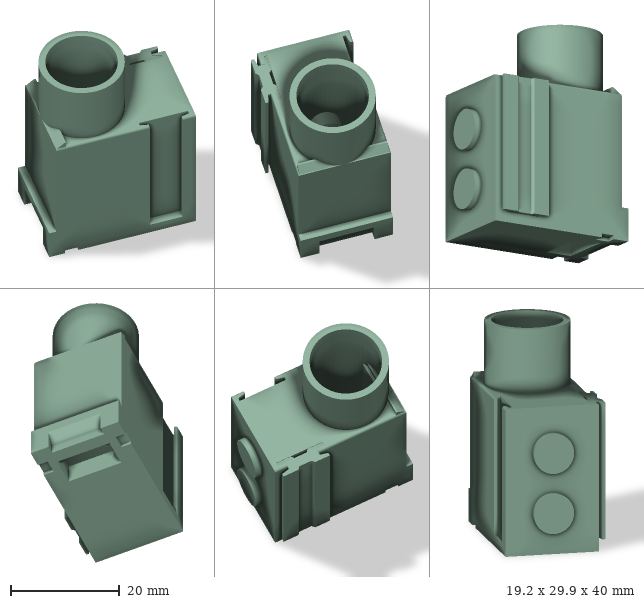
import cadquery as cq

body_width = 17.75
body_depth = 27.2
body_height = 28.0
edge_radius = 0.4
half_width = body_width / 2

lip_depth = 1.4
lip_height = 6.32

spout_outer_diameter = 15.92
spout_center_y = spout_outer_diameter / 2
spout_bore_diameter = 13.35
spout_top = 40.0

slot_width = 10.6
slot_depth = 1.52
slot_front_height = 4.35
slot_back_height = 2.3

cavity_front_y = 2.5
cavity_floor = slot_front_height
window_back_y = 7.6

ridge_width = 17.3
ridge_back_y = 1.95
ridge_flat = 0.32
ridge_base = 27.9
ridge_top = 29.1

rail_center_y = 21.4
rail_length = 9.6
rail_neck_length = 6.4
rail_overhang = 1.5
rail_bottom = 2.0
rail_top = 27.9
groove_depth = 1.6
flange_edge = 0.6
flange_root = 0.95
rail_notch_depth = 0.55
rail_notch_mouth = 3.5
rail_notch_floor = 2.52

screw_heights = (7.92, 19.32)
screw_head_diameter = 7.6
screw_head_height = 1.35
screw_shaft_diameter = 6.55
screw_tip_y = 11.25
screw_tip_chamfer = 0.8

notch_front_y = 1.7
notch_length = 2.6
notch_height = 0.72
notch_reach = 2.0


def box(x_range, y_range, z_range):
    """Box spanning the given (low, high) ranges."""
    size = [high - low for low, high in (x_range, y_range, z_range)]
    corner = (x_range[0], y_range[0], z_range[0])
    return cq.Workplane("XY").box(*size, centered=False).translate(corner)


def extrude_across(points, width):
    """Extrude a (y, z) outline symmetrically along X."""
    return cq.Workplane("YZ").polyline(points).close().extrude(width / 2, both=True)


def make_block():
    body = box((-half_width, half_width), (0, body_depth), (0, body_height))
    body = body.edges("|Y and >Z").fillet(edge_radius)
    lip = box((-half_width, half_width), (-lip_depth, 0), (0, lip_height))
    return body.union(lip)


def make_ridge():
    outline = [
        (0, ridge_base),
        (ridge_back_y - ridge_flat, ridge_top),
        (ridge_back_y, ridge_top),
        (ridge_back_y, ridge_base),
    ]
    return extrude_across(outline, ridge_width)


def make_spout():
    ring = cq.Workplane("XY", origin=(0, spout_center_y, body_height))
    ring = ring.circle(spout_outer_diameter / 2).circle(spout_bore_diameter / 2)
    return ring.extrude(spout_top - body_height)


def make_cavity():
    """Bore continued down to the floor, flat at the front, with a window through the floor."""
    bore = cq.Workplane("XY", origin=(0, spout_center_y, cavity_floor))
    bore = bore.circle(spout_bore_diameter / 2).extrude(body_height - cavity_floor)
    behind_front_wall = box((-half_width, half_width), (cavity_front_y, body_depth), (0, body_height))
    half_window = slot_width / 2
    window = box((-half_window, half_window), (cavity_front_y, window_back_y), (0, cavity_floor))
    return bore.intersect(behind_front_wall).union(window)


def make_front_slot():
    slot_back_y = slot_depth - lip_depth
    outline = [
        (-lip_depth, 0),
        (-lip_depth, slot_front_height),
        (slot_back_y, slot_back_height),
        (slot_back_y, 0),
    ]
    return extrude_across(outline, slot_width)


def dovetail_half(depth, top):
    """Half rail reaching from x = 0 to x = depth, widening away from x = 0."""
    half_neck = rail_neck_length / 2
    half_length = rail_length / 2
    outline = [
        (0, -half_neck),
        (depth - flange_root, -half_neck),
        (depth - flange_edge, -half_length),
        (depth, -half_length),
        (depth, half_length),
        (depth - flange_edge, half_length),
        (depth - flange_root, half_neck),
        (0, half_neck),
    ]
    profile = cq.Workplane("XY", origin=(0, 0, rail_bottom)).polyline(outline).close()
    return profile.extrude(top - rail_bottom)


def make_groove():
    """Dovetail groove cutter for the right side face, open at the top."""
    groove = dovetail_half(groove_depth, body_height).rotate((0, 0, 0), (0, 0, 1), 180)
    return groove.translate((half_width, rail_center_y, 0))


def rail_notch(depth):
    """Trapezoidal notch in the outer face of a half rail."""
    outline = [
        (depth, -rail_notch_mouth / 2),
        (depth - rail_notch_depth, -rail_notch_floor / 2),
        (depth - rail_notch_depth, rail_notch_floor / 2),
        (depth, rail_notch_mouth / 2),
    ]
    profile = cq.Workplane("XY", origin=(0, 0, rail_bottom)).polyline(outline).close()
    return profile.extrude(rail_top - rail_bottom)


def make_rail():
    inner = dovetail_half(groove_depth, rail_top).cut(rail_notch(groove_depth))
    outer = dovetail_half(rail_overhang, rail_top).cut(rail_notch(rail_overhang))
    rail = inner.union(outer.mirror("YZ"))
    return rail.translate((-half_width, rail_center_y, 0))


def make_screw(height):
    head_start = cq.Workplane("XZ", origin=(0, body_depth + screw_head_height, height))
    head = head_start.circle(screw_head_diameter / 2).extrude(screw_head_height)
    shaft_start = cq.Workplane("XZ", origin=(0, body_depth, height))
    shaft = shaft_start.circle(screw_shaft_diameter / 2).extrude(body_depth - screw_tip_y)
    shaft = shaft.faces("<Y").chamfer(screw_tip_chamfer)
    return head.union(shaft)


def make_side_notch():
    """Notch cutter for the left side face."""
    x_range = (-half_width, notch_reach - half_width)
    y_range = (notch_front_y, notch_front_y + notch_length)
    return box(x_range, y_range, (0, notch_height))


result = make_block().cut(make_cavity()).cut(make_front_slot())
for side_cutter in (make_side_notch(), make_groove()):
    result = result.cut(side_cutter).cut(side_cutter.mirror("YZ"))
result = result.union(make_ridge()).union(make_spout()).union(make_rail())
for screw_height in screw_heights:
    result = result.union(make_screw(screw_height))